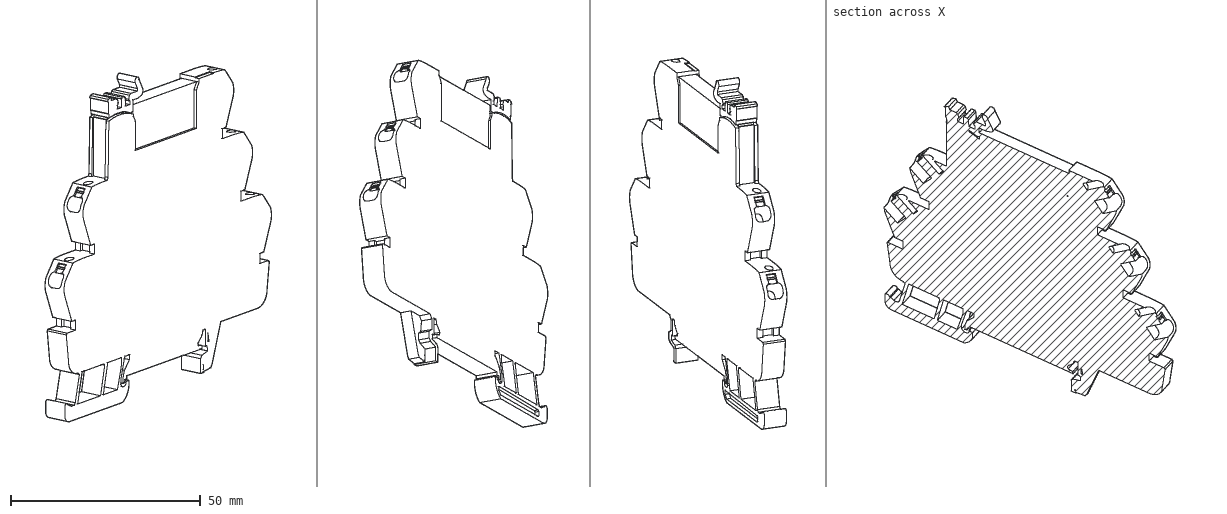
import cadquery as cq
import math

WIDTH = 6.4
HALF_WIDTH = WIDTH / 2
HALF_LENGTH = 89.37 / 2
TOTAL_HEIGHT = 87.83
FOOT_Z = -12.45
LEVER_TOP_Z = FOOT_Z + TOTAL_HEIGHT
RAIL_FACE_Z = -5.55

BASE_TOP_Z = 12.1
BASE_TOP_Y = 43.75
BASE_TOP_CHAMFER = 0.4
BASE_SIDE_END = (42.8, 4.3)
BASE_FLOOR_END_Y = 38.4
BASE_CORNER_MID = (41.5, 1.2)

TIER_HEIGHT = 19.0
TIER_SETBACK = 8.13
NOTCH_HEIGHT = 2.75
NOTCH_Y = 39.7
LOBE_HEEL_Y = 41.35
NOSE_LOW = (44.48, 22.75)
NOSE_MID = (HALF_LENGTH, 24.4)
NOSE_HIGH = (44.25, 26.45)
ENTRY_CORNER = (40.87, 30.75)
TOP_BEVEL = (40.45, 30.85)
TOP_CURVE_MID = (38.3, 31.03)
TOP_BEND_Y = 36.0
NOTCH_POCKET_WIDTH = 3.1
NOTCH_POCKET_DEPTH = 1.0

WIRE_HOLE_WIDTH = 4.4
WIRE_HOLE_LENGTH = 4.1
WIRE_HOLE_FILLET = 1.3
WIRE_HOLE_DISTANCE = 5.45
WIRE_HOLE_DEPTH = 6.5
TEST_SLOT_WIDTH = 2.5
TEST_SLOT_START = 0.8
TEST_SLOT_DEPTH = 0.6
TEST_BAR_LENGTH = 0.5
TEST_BAR_DISTANCE = 1.9
TEST_BAR_HEIGHT = 0.3
DRIVER_HOLE_DIAMETER = 2.0
DRIVER_HOLE_X = 0.5
DRIVER_HOLE_INSET = 2.15
DRIVER_HOLE_DEPTH = 5.0

RELAY_TOP_Z = 67.95
RELAY_BACK_Y = 13.45
RELAY_FRONT_Y = -14.7
WINDOW_FLOOR_Z = 55.5
WINDOW_BACK_Y = 12.3
WINDOW_FRONT_Y = -13.9
WINDOW_INSET_LEFT = 0.5
WINDOW_INSET_RIGHT = 0.8
NECK_TOP = (-25.4, 66.15)
NECK_CROWN = (-21.1, 66.85)
NECK_BACK_Z = 65.65
NECK_LOW = (-25.75, 50.8)
NECK_FOOT_Y = -26.05
PANEL_HALF_WIDTH = 2.2
PANEL_Y = -25.1
WEB_FRONT_Y = -24.9
WEB_BACK_Y = -17.9
WEB_LOW_Z = 66.0
WEB_HIGH_Z = 67.5
TOP_STEP_X = 1.83
TOP_STEP_DEPTH = 0.2

LEVER_HALF_WIDTH = 3.0
LEVER_TIP_RADIUS = 0.9
LEVER_TIP_Y = -12.95
LEVER_DECK_Z = 71.5
LEVER_GROOVE_Z = 68.55
LEVER_LIP_Z = 71.15
LEVER_RIB_Z = 71.3
LEVER_ARM_Z = 69.5
LEVER_FRONT_Y = -25.4

HOOK_TIP_Z = -12.25
WEDGE_INNER_X = 0.0
FRAME_FLOOR_Z = -8.4
LATCH_END_Y = -44.4
LATCH_NUB_Z = -7.8
FOOT_SLOT_DEPTH = 1.2


def extrude_x(outline, x_start=-HALF_WIDTH, x_end=HALF_WIDTH):
    """Close a YZ outline and extrude it from x_start to x_end."""
    return outline.close().extrude(x_end - x_start).translate((x_start, 0, 0))


def prism(points, x_start=-HALF_WIDTH, x_end=HALF_WIDTH):
    """Straight-sided YZ outline extruded along X."""
    outline = cq.Workplane("YZ").polyline(points)
    return extrude_x(outline, x_start, x_end)


def make_base():
    half = extrude_x(
        cq.Workplane("YZ")
        .moveTo(0, 0)
        .lineTo(BASE_FLOOR_END_Y, 0)
        .threePointArc(BASE_CORNER_MID, BASE_SIDE_END)
        .lineTo(BASE_TOP_Y, BASE_TOP_Z - BASE_TOP_CHAMFER)
        .lineTo(BASE_TOP_Y - BASE_TOP_CHAMFER, BASE_TOP_Z)
        .lineTo(0, BASE_TOP_Z)
    )
    return half.union(half.mirror("XZ"))


def entry_plane(distance):
    """Plane on the +Y entry face of the lowest tier, pointing outwards.

    Its origin lies the given distance below the entry corner; local y runs down the slope.
    """
    run = NOSE_HIGH[0] - ENTRY_CORNER[0]
    drop = ENTRY_CORNER[1] - NOSE_HIGH[1]
    length = math.hypot(run, drop)
    along = distance / length
    origin = (0, ENTRY_CORNER[0] + run * along, ENTRY_CORNER[1] - drop * along)
    return cq.Plane(origin=origin, xDir=(1, 0, 0), normal=(0, drop, run))


def make_wire_hole():
    sketch = (
        cq.Sketch()
        .rect(WIRE_HOLE_WIDTH, WIRE_HOLE_LENGTH)
        .vertices()
        .fillet(WIRE_HOLE_FILLET)
    )
    return (
        cq.Workplane(entry_plane(WIRE_HOLE_DISTANCE))
        .workplane(offset=-WIRE_HOLE_DEPTH)
        .placeSketch(sketch)
        .extrude(2 * WIRE_HOLE_DEPTH)
    )


def make_test_slot():
    length = WIRE_HOLE_DISTANCE - WIRE_HOLE_LENGTH / 2 - TEST_SLOT_START
    slot = (
        cq.Workplane(entry_plane(TEST_SLOT_START + length / 2))
        .rect(TEST_SLOT_WIDTH, length)
        .extrude(TEST_SLOT_DEPTH, both=True)
    )
    bar = (
        cq.Workplane(entry_plane(TEST_BAR_DISTANCE))
        .workplane(offset=-TEST_SLOT_DEPTH)
        .rect(TEST_SLOT_WIDTH, TEST_BAR_LENGTH)
        .extrude(TEST_BAR_HEIGHT)
    )
    return slot.cut(bar)


def make_driver_hole():
    """Round hole through the top face, parallel to the wire entry."""
    plane = entry_plane(0)
    plane.origin = (DRIVER_HOLE_X, ENTRY_CORNER[0] - DRIVER_HOLE_INSET, ENTRY_CORNER[1])
    overshoot = DRIVER_HOLE_DIAMETER
    return (
        cq.Workplane(plane)
        .workplane(offset=-DRIVER_HOLE_DEPTH)
        .circle(DRIVER_HOLE_DIAMETER / 2)
        .extrude(DRIVER_HOLE_DEPTH + overshoot)
    )


def make_half_tier(inner_y=0):
    """Lowest tier on the +Y side, from inner_y outwards, with all its openings."""
    notch_top = BASE_TOP_Z + NOTCH_HEIGHT
    tier_top = BASE_TOP_Z + TIER_HEIGHT
    tier = extrude_x(
        cq.Workplane("YZ")
        .moveTo(inner_y, BASE_TOP_Z)
        .lineTo(NOTCH_Y, BASE_TOP_Z)
        .lineTo(NOTCH_Y, notch_top)
        .lineTo(LOBE_HEEL_Y, notch_top)
        .lineTo(*NOSE_LOW)
        .threePointArc(NOSE_MID, NOSE_HIGH)
        .lineTo(*ENTRY_CORNER)
        .lineTo(*TOP_BEVEL)
        .threePointArc(TOP_CURVE_MID, (TOP_BEND_Y, tier_top))
        .lineTo(inner_y, tier_top)
    )
    notch_pocket = cq.Workplane("XY").box(
        NOTCH_POCKET_WIDTH, 2 * NOTCH_POCKET_DEPTH, NOTCH_HEIGHT, centered=(True, True, False)
    ).translate((0, NOTCH_Y, BASE_TOP_Z))
    for opening in (make_wire_hole(), make_test_slot(), make_driver_hole(), notch_pocket):
        tier = tier.cut(opening)
    return tier


def raise_tier(tier, level):
    return tier.translate((0, -level * TIER_SETBACK, level * TIER_HEIGHT))


def make_tiers():
    """Two double-sided tiers and a third one on the +Y side only."""
    half_tier = make_half_tier()
    lower = raise_tier(half_tier, 0)
    middle = raise_tier(half_tier, 1)
    both = lower.union(middle)
    top = raise_tier(make_half_tier(RELAY_BACK_Y + 2 * TIER_SETBACK), 2)
    return both.union(both.mirror("XZ")).union(top)


def make_upper_body():
    """Relay block and the neck that carries the lever."""
    floor_z = BASE_TOP_Z + 2 * TIER_HEIGHT
    body = extrude_x(
        cq.Workplane("YZ")
        .moveTo(RELAY_BACK_Y, floor_z)
        .lineTo(NECK_FOOT_Y, floor_z)
        .lineTo(*NECK_LOW)
        .lineTo(*NECK_TOP)
        .threePointArc(NECK_CROWN, (RELAY_FRONT_Y, NECK_BACK_Z))
        .lineTo(RELAY_FRONT_Y, RELAY_TOP_Z)
        .lineTo(RELAY_BACK_Y, RELAY_TOP_Z)
    )
    panel_height = RELAY_TOP_Z - floor_z
    panel = cq.Workplane("XY").box(
        2 * PANEL_HALF_WIDTH, PANEL_Y - NECK_FOOT_Y, panel_height, centered=(True, False, False)
    ).translate((0, NECK_FOOT_Y, floor_z))
    return body.cut(panel)


def cut_relay_windows(body):
    """Set the relay block back from both sides of the housing."""
    window = [
        (RELAY_BACK_Y, RELAY_TOP_Z),
        (WINDOW_BACK_Y, 66.0),
        (WINDOW_BACK_Y, WINDOW_FLOOR_Z),
        (WINDOW_FRONT_Y, WINDOW_FLOOR_Z),
        (WINDOW_FRONT_Y, 63.4),
        (RELAY_FRONT_Y, 64.9),
        (RELAY_FRONT_Y, RELAY_TOP_Z),
    ]
    left = prism(window, -HALF_WIDTH, -HALF_WIDTH + WINDOW_INSET_LEFT)
    right = prism(window, HALF_WIDTH - WINDOW_INSET_RIGHT, HALF_WIDTH)
    return body.cut(left).cut(right)


def cut_top_step(body):
    """Shallow step along the +X edge of the highest top face."""
    length = TOP_BEND_Y - 2 * TIER_SETBACK - RELAY_BACK_Y
    top_z = BASE_TOP_Z + 3 * TIER_HEIGHT
    step = cq.Workplane("XY").box(
        HALF_WIDTH - TOP_STEP_X, length, TOP_STEP_DEPTH, centered=False
    ).translate((TOP_STEP_X, RELAY_BACK_Y, top_z - TOP_STEP_DEPTH))
    return body.cut(step)


def make_lever():
    tip_z = LEVER_TOP_Z - LEVER_TIP_RADIUS
    lever = extrude_x(
        cq.Workplane("YZ")
        .moveTo(LEVER_TIP_Y + LEVER_TIP_RADIUS, tip_z)
        .lineTo(-10.6, 71.8)
        .threePointArc((-10.55, 70.5), (-11.3, 69.9))
        .lineTo(-12.65, LEVER_ARM_Z)
        .lineTo(RELAY_FRONT_Y, LEVER_ARM_Z)
        .lineTo(RELAY_FRONT_Y, 66.3)
        .lineTo(-15.6, 66.1)
        .threePointArc((-20.8, 67.4), (-25.05, 66.9))
        .lineTo(-25.2, 68.0)
        .lineTo(LEVER_FRONT_Y, 68.2)
        .lineTo(LEVER_FRONT_Y, 71.4)
        .lineTo(-25.75, 71.6)
        .lineTo(LEVER_FRONT_Y, 72.1)
        .lineTo(-24.3, 72.4)
        .lineTo(-23.9, LEVER_DECK_Z)
        .lineTo(-21.9, LEVER_DECK_Z)
        .lineTo(-21.4, LEVER_LIP_Z)
        .lineTo(-21.05, 70.1)
        .lineTo(-21.4, 69.5)
        .lineTo(-21.4, LEVER_GROOVE_Z)
        .lineTo(-19.7, LEVER_GROOVE_Z)
        .lineTo(-19.7, 70.9)
        .lineTo(-19.4, LEVER_RIB_Z)
        .lineTo(-18.4, LEVER_RIB_Z)
        .lineTo(-18.05, 70.9)
        .lineTo(-17.9, LEVER_GROOVE_Z)
        .lineTo(-16.1, LEVER_GROOVE_Z)
        .lineTo(-16.1, 69.5)
        .lineTo(-16.6, 70.1)
        .lineTo(-16.3, LEVER_LIP_Z)
        .lineTo(-15.6, LEVER_DECK_Z)
        .lineTo(-12.85, LEVER_DECK_Z)
        .lineTo(-12.85, 72.2)
        .lineTo(LEVER_TIP_Y - LEVER_TIP_RADIUS, tip_z - LEVER_TIP_RADIUS / 2)
        .lineTo(LEVER_TIP_Y - LEVER_TIP_RADIUS, tip_z)
        .threePointArc((LEVER_TIP_Y, LEVER_TOP_Z), (LEVER_TIP_Y + LEVER_TIP_RADIUS, tip_z)),
        -LEVER_HALF_WIDTH,
        LEVER_HALF_WIDTH,
    )
    pivot_web = prism(
        [
            (WEB_BACK_Y, WEB_LOW_Z),
            (WEB_FRONT_Y, WEB_LOW_Z),
            (WEB_FRONT_Y, WEB_HIGH_Z),
            (WEB_BACK_Y, WEB_HIGH_Z),
        ],
        -PANEL_HALF_WIDTH,
        PANEL_HALF_WIDTH,
    )
    return lever.union(pivot_web)


def make_rail_seat():
    """Block under the housing that rests on the rail, with its two catch lips."""
    return prism([
        (15.15, 0),
        (15.15, -0.55),
        (14.75, -1.85),
        (13.05, -3.6),
        (13.25, -4.4),
        (14.7, -4.65),
        (14.7, RAIL_FACE_Z),
        (-17.6, RAIL_FACE_Z),
        (-17.6, -6.4),
        (-18.45, -6.4),
        (-18.7, -7.25),
        (-19.3, -7.25),
        (-19.3, -5.7),
        (-18.7, -3.8),
        (-16.55, -1.35),
        (-16.4, 0),
    ])


def make_fixed_hook():
    """Full-width bent strip, braced by a wedge-shaped web on the +X half."""
    strip = prism([
        (18.3, 0),
        (17.3, -1.15),
        (17.3, -4.05),
        (18.8, -5.0),
        (18.8, -6.9),
        (18.0, -7.6),
        (15.3, -8.4),
        (15.3, -11.0),
        (15.5, HOOK_TIP_Z),
        (14.1, HOOK_TIP_Z),
        (14.1, -8.15),
        (14.7, -7.35),
        (17.1, -6.7),
        (16.9, -5.25),
        (16.15, -5.25),
        (16.15, -0.55),
        (15.15, -0.55),
        (15.15, 0),
    ])
    wedge = prism(
        [
            (22.85, 0),
            (19.1, -10.8),
            (18.5, -11.65),
            (15.4, -12.0),
            (15.2, -8.2),
            (18.0, -6.0),
            (17.0, 0),
        ],
        WEDGE_INNER_X,
        HALF_WIDTH,
    )
    return strip.union(wedge)


def make_rail_latch():
    """Open frame with three slanted legs and a long blind slot in its foot."""
    frame = extrude_x(
        cq.Workplane("YZ")
        .moveTo(-18.45, 0)
        .lineTo(-18.8, -0.75)
        .lineTo(-20.2, -5.9)
        .lineTo(-20.2, -7.4)
        .threePointArc((-19.1, -8.2), (-17.95, -7.4))
        .lineTo(-17.95, -7.0)
        .lineTo(-16.7, -7.0)
        .lineTo(-16.7, -8.5)
        .threePointArc((-17.55, -10.7), (-19.5, FOOT_Z))
        .lineTo(-42.4, FOOT_Z)
        .threePointArc((-43.8, -11.8), (LATCH_END_Y, -10.4))
        .lineTo(LATCH_END_Y, LATCH_NUB_Z)
        .threePointArc((-43.6, -7.2), (-42.85, LATCH_NUB_Z))
        .lineTo(-42.5, LATCH_NUB_Z)
        .lineTo(-41.5, FRAME_FLOOR_Z)
        .lineTo(-40.3, FRAME_FLOOR_Z)
        .lineTo(-39.9, LATCH_NUB_Z)
        .lineTo(-38.1, -0.5)
        .lineTo(-38.6, 0)
    )
    first_window = [
        (-19.9, 0),
        (-25.9, 0),
        (-27.8, FRAME_FLOOR_Z),
        (-21.7, FRAME_FLOOR_Z),
        (-19.9, -1.8),
    ]
    second_window = [
        (-27.5, 0),
        (-36.85, 0),
        (-38.85, FRAME_FLOOR_Z),
        (-28.95, FRAME_FLOOR_Z),
        (-27.2, -0.4),
    ]
    slot = [
        (-18.35, -9.3),
        (-39.5, -9.6),
        (-39.9, -9.9),
        (-39.9, -11.1),
        (-39.6, -11.4),
        (-19.5, -11.4),
        (-18.6, -10.4),
    ]
    frame = frame.cut(prism(first_window)).cut(prism(second_window))
    return frame.cut(prism(slot, -HALF_WIDTH, -HALF_WIDTH + FOOT_SLOT_DEPTH))


housing = make_base().union(make_tiers()).union(make_upper_body())
housing = cut_top_step(cut_relay_windows(housing))
result = housing
for attachment in (make_lever(), make_rail_seat(), make_fixed_hook(), make_rail_latch()):
    result = result.union(attachment)